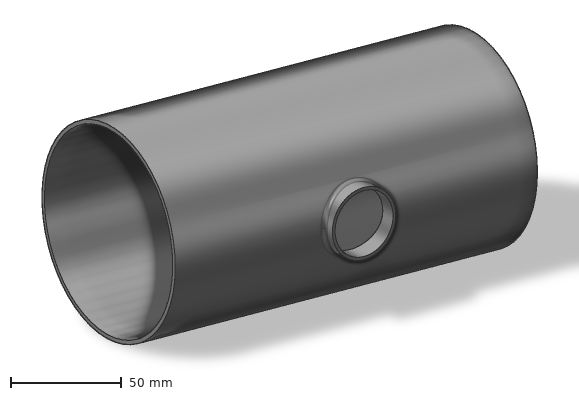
import cadquery as cq

tube_length = 200.0
tube_outer_diameter = 104.0
tube_inner_diameter = 100.0

socket_outer_diameter = 35.0
socket_bore_diameter = 32.0
socket_face_x = 58.0
weld_radius = 2.0


def tube_cylinder(diameter):
    """Solid cylinder over the full length of the main tube."""
    return cq.Workplane("XZ").circle(diameter / 2).extrude(tube_length / 2, both=True)


def socket_cylinder(diameter):
    """Solid cylinder from the tube axis to the socket face."""
    return cq.Workplane("YZ").circle(diameter / 2).extrude(socket_face_x)


body = tube_cylinder(tube_outer_diameter).union(socket_cylinder(socket_outer_diameter))
seam_box = cq.selectors.BoxSelector(
    (0, -socket_outer_diameter, -socket_outer_diameter),
    (tube_outer_diameter / 2 + weld_radius, socket_outer_diameter, socket_outer_diameter),
    boundingbox=True,
)
body = body.edges(seam_box).fillet(weld_radius)

result = body.cut(tube_cylinder(tube_inner_diameter)).cut(socket_cylinder(socket_bore_diameter))